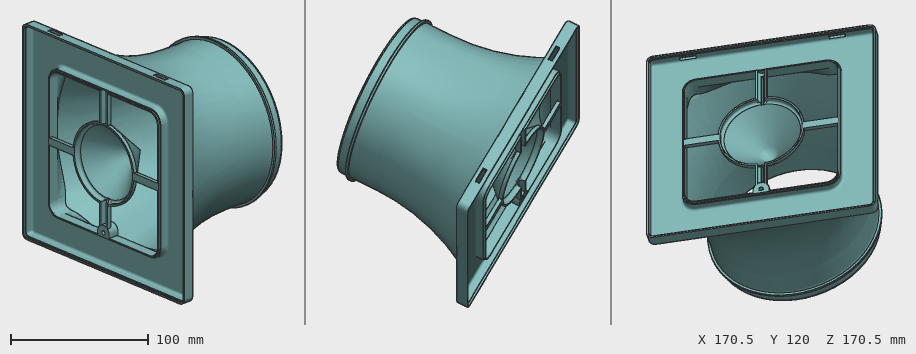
import cadquery as cq
import math

LENGTH = 120.0
PLATE_SIZE = 170.5
PLATE_DEPTH = 9.6
PLATE_CORNER_R = 5.0
PLATE_BACK_EDGE_R = 2.0
WALL = 3.0
RECESS_DEPTH = 7.8
RECESS_FILLET = 2.0

LIP_STEP_DEPTH = 1.5
LIP_STEP_WIDTH = 1.0
PLATE_LIP = 2.4
OPENING = 113.8
OPENING_CORNER_R = 8.5
OPENING_LIP = 2.0
OPENING_DEPTH = 8.2

SPIGOT_D = 125.0
BORE_D = SPIGOT_D - 2 * WALL
BELL_MOUTH_D = 167.0
BELL_END_Y = 90.0
BELL_WALL_AT_MOUTH = 3.4
SPIGOT_CHAMFER = 1.3
SPIGOT_CHAMFER_WIDTH = 0.5

THROAT_D = 155.4
THROAT_END_Y = 27.0

SEAL_D = 129.5
SEAL_START = 109.9
SEAL_END = 112.0
SEAL_CHAMFER = 0.5
SEAL_FOOT_START = 108.7
SEAL_FOOT_END = 113.0
SEAL_FOOT_RISE = 0.3

RING_D = 64.0
RING_LIP_D = 61.2
RING_SEAT_D = 58.0
CONE_D = 57.0
RING_DEPTH = 3.0
CONE_TIP_Y = 37.0
RING_STEP_Y = 4.4

BAR_HEIGHT = 6.0
BAR_THICKNESS = 3.0
CHANNEL_D = 8.5
CHANNEL_WALL = 1.6
CHANNEL_SLOT = 1.9
CHANNEL_AXIS_Y = 1.7
SLOT_HEIGHT = 110.0

BOSS_R = 6.0
BOSS_Z = -54.3
BOSS_DEPTH = 9.0
BOSS_HOLE_D = 3.2

LATCH_WIDTH = 12.0
LATCH_HEIGHT = 3.0
LATCH_X = 55.5
LATCH_Y = 4.8


def square_block(size, start, end, corner_r):
    """Square prism along +Y from y = start to y = end, with rounded corners."""
    sketch = cq.Sketch().rect(size, size).vertices().fillet(corner_r)
    plane = cq.Workplane("XZ", origin=(0, start, 0))
    return plane.placeSketch(sketch).extrude(start - end)


def turned(profile):
    """Revolve a closed profile, drawn as radius and y, around the Y axis."""
    return profile.close().revolve(360, (0, 0, 0), (0, 1, 0))


def bell_body(end_r, mouth_r):
    """Solid of revolution: straight spigot, then an arc opening out to the mouth."""
    rise = mouth_r - end_r
    run = BELL_END_Y - PLATE_DEPTH
    arc_r = (rise**2 + run**2) / (2 * rise)
    half_angle = math.asin(run / arc_r) / 2
    mid_r = end_r + arc_r * (1 - math.cos(half_angle))
    mid_y = BELL_END_Y - arc_r * math.sin(half_angle)
    mouth_y = RECESS_DEPTH
    profile = (
        cq.Workplane("XY")
        .moveTo(0, mouth_y)
        .lineTo(mouth_r, mouth_y)
        .lineTo(mouth_r, PLATE_DEPTH)
        .threePointArc((mid_r, mid_y), (end_r, BELL_END_Y))
        .lineTo(end_r, LENGTH)
        .lineTo(0, LENGTH)
    )
    return turned(profile)


def face_plate():
    """Square tray whose floor carries the stepped rim of the opening."""
    plate = square_block(PLATE_SIZE, 0, PLATE_DEPTH, PLATE_CORNER_R)
    plate = plate.faces(">Y").edges().fillet(PLATE_BACK_EDGE_R)

    recess_size = PLATE_SIZE - 2 * PLATE_LIP
    recess = square_block(recess_size, 0, RECESS_DEPTH, PLATE_CORNER_R - PLATE_LIP)
    recess = recess.faces(">Y").edges().fillet(RECESS_FILLET)
    step_size = recess_size + 2 * LIP_STEP_WIDTH
    step = square_block(step_size, 0, LIP_STEP_DEPTH, PLATE_CORNER_R - PLATE_LIP + LIP_STEP_WIDTH)
    plate = plate.cut(recess).cut(step)

    rim_size = OPENING + 2 * OPENING_LIP
    rim_r = OPENING_CORNER_R + OPENING_LIP
    rim = square_block(rim_size, LIP_STEP_DEPTH, PLATE_DEPTH, rim_r)
    tip = square_block(rim_size - 2 * LIP_STEP_WIDTH, 0, LIP_STEP_DEPTH, rim_r - LIP_STEP_WIDTH)
    plate = plate.union(rim)
    reach = rim_size / 2 + OPENING_LIP
    floor_edges = cq.selectors.BoxSelector(
        (-reach, RECESS_DEPTH - RECESS_FILLET / 2, -reach),
        (reach, RECESS_DEPTH + RECESS_FILLET / 2, reach),
    )
    return plate.edges(floor_edges).fillet(RECESS_FILLET).union(tip)


def bell_outside():
    """Outer form of the bell and spigot, with the chamfered end."""
    body = bell_body(SPIGOT_D / 2, BELL_MOUTH_D / 2)
    return body.faces(">Y").edges().chamfer(SPIGOT_CHAMFER, SPIGOT_CHAMFER_WIDTH)


def throat():
    """Transition from the square opening to a circle inside the bell."""
    square = cq.Sketch().rect(OPENING, OPENING).vertices().fillet(OPENING_CORNER_R)
    circle = cq.Sketch().circle(THROAT_D / 2)
    circle = circle.moved(cq.Location(cq.Vector(0, 0, OPENING_DEPTH - THROAT_END_Y)))
    return cq.Workplane("XZ", origin=(0, OPENING_DEPTH, 0)).placeSketch(square, circle).loft(ruled=True)


def air_passage():
    """Space for the air: square opening, throat, bell and bore, the throat bounded by the bell."""
    bell_inside = bell_body(BORE_D / 2, BELL_MOUTH_D / 2 - BELL_WALL_AT_MOUTH)
    opening = square_block(OPENING, 0, OPENING_DEPTH, OPENING_CORNER_R)
    rear = cq.Workplane("XZ", origin=(0, THROAT_END_Y, 0)).circle(THROAT_D / 2)
    rear = rear.extrude(THROAT_END_Y - LENGTH)
    return opening.union(throat().union(rear).intersect(bell_inside))


def seal_ring():
    """Flat ring on a foot that tapers down to the spigot on both sides."""
    ring_r = SEAL_D / 2
    spigot_r = SPIGOT_D / 2
    inner_r = spigot_r - WALL / 2
    profile = (
        cq.Workplane("XY")
        .moveTo(inner_r, SEAL_FOOT_START)
        .lineTo(spigot_r, SEAL_FOOT_START)
        .lineTo(spigot_r + SEAL_FOOT_RISE, SEAL_START)
        .lineTo(ring_r, SEAL_START)
        .lineTo(ring_r, SEAL_END - SEAL_CHAMFER)
        .lineTo(ring_r - SEAL_CHAMFER, SEAL_END)
        .lineTo(spigot_r + SEAL_FOOT_RISE, SEAL_END)
        .lineTo(spigot_r, SEAL_FOOT_END)
        .lineTo(inner_r, SEAL_FOOT_END)
    )
    return turned(profile)


def cone():
    """Outer form of the cone, pointing to +Y, with its straight front ring."""
    profile = (
        cq.Workplane("XY")
        .moveTo(0, 0)
        .lineTo(RING_D / 2, 0)
        .lineTo(RING_D / 2, RING_DEPTH)
        .lineTo(0, CONE_TIP_Y)
    )
    return turned(profile)


def cone_hollow():
    """Inside of the cone, with a filleted step under its front lip."""
    lip_r = RING_LIP_D / 2
    fillet_r = (RING_LIP_D - RING_SEAT_D) / 2
    round_off = fillet_r * (1 - math.sqrt(0.5))
    slope = (CONE_TIP_Y - RING_DEPTH) / (RING_D / 2)
    profile = (
        cq.Workplane("XY")
        .moveTo(0, 0)
        .lineTo(lip_r, 0)
        .lineTo(lip_r, RING_STEP_Y - fillet_r)
        .threePointArc(
            (lip_r - round_off, RING_STEP_Y - round_off),
            (RING_SEAT_D / 2, RING_STEP_Y),
        )
        .lineTo(CONE_D / 2, RING_STEP_Y)
        .lineTo(0, RING_STEP_Y + slope * CONE_D / 2)
    )
    return turned(profile)


def u_bar(diameter, height):
    """Vertical bar open to y = 0, with straight sides and a half-round back."""
    rod = cq.Workplane("XY").center(0, CHANNEL_AXIS_Y).circle(diameter / 2)
    rod = rod.extrude(height / 2, both=True)
    sides = cq.Workplane("XY").box(diameter, CHANNEL_AXIS_Y, height)
    front = cq.Workplane("XY").box(diameter, diameter, height)
    sides = sides.translate((0, CHANNEL_AXIS_Y / 2, 0))
    front = front.translate((0, -diameter / 2, 0))
    return rod.union(sides).cut(front)


def horizontal_bars():
    return (
        cq.Workplane("XY")
        .box(OPENING + OPENING_LIP, BAR_THICKNESS, BAR_HEIGHT)
        .translate((0, BAR_THICKNESS / 2, 0))
    )


def channel_groove():
    """Round groove of the vertical spokes with the slot through its bottom."""
    groove = u_bar(CHANNEL_D - 2 * CHANNEL_WALL, OPENING + OPENING_LIP)
    slot = cq.Workplane("XY").box(CHANNEL_SLOT, 2 * CHANNEL_D, SLOT_HEIGHT)
    cone_space = turned(
        cq.Workplane("XY")
        .moveTo(0, -CHANNEL_D)
        .lineTo(CONE_D / 2, -CHANNEL_D)
        .lineTo(CONE_D / 2, CHANNEL_D)
        .lineTo(0, CHANNEL_D)
    )
    return groove.union(slot).cut(cone_space)


def screw_boss():
    """Round-topped boss standing on the bottom side of the opening."""
    foot_z = -(OPENING + OPENING_LIP) / 2
    plane = cq.Workplane("XZ")
    top = plane.center(0, BOSS_Z).circle(BOSS_R).extrude(-BOSS_DEPTH)
    foot = (
        plane.center(0, (BOSS_Z + foot_z) / 2)
        .rect(2 * BOSS_R, BOSS_Z - foot_z)
        .extrude(-BOSS_DEPTH)
    )
    below = (
        plane.center(0, foot_z - BOSS_R)
        .rect(2 * BOSS_R, 2 * BOSS_R)
        .extrude(-BOSS_DEPTH)
    )
    return top.union(foot).cut(below)


def screw_hole():
    return cq.Workplane("XZ").center(0, BOSS_Z).circle(BOSS_HOLE_D / 2).extrude(-BOSS_DEPTH)


def latch_slot(x):
    return (
        cq.Workplane("XY")
        .box(LATCH_WIDTH, LATCH_HEIGHT, 2 * PLATE_LIP)
        .translate((x, LATCH_Y, PLATE_SIZE / 2 - PLATE_LIP / 2))
    )


result = face_plate().union(bell_outside()).union(seal_ring())
result = result.cut(air_passage())
result = result.union(cone())
result = result.union(u_bar(CHANNEL_D, OPENING + OPENING_LIP))
result = result.union(horizontal_bars())
result = result.cut(cone_hollow()).cut(channel_groove())
result = result.union(screw_boss()).cut(screw_hole())
for side in (-1, 1):
    result = result.cut(latch_slot(side * LATCH_X))